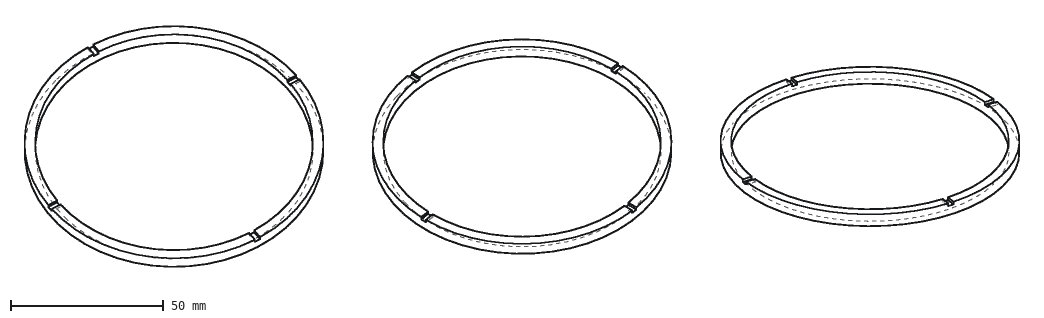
import cadquery as cq

outer_diameter = 98.0
inner_diameter = 91.0
height = 4.5

notch_width = 2.0
notch_depth = 1.0


def ring():
    """Plain flat ring standing on the XY plane."""
    return cq.Workplane("XY").circle(outer_diameter / 2).circle(inner_diameter / 2).extrude(height)


def notch_bar(angle):
    """Bar through the ring axis that cuts two opposite notches."""
    return (
        cq.Workplane("XY", origin=(0, 0, height - notch_depth))
        .rect(outer_diameter, notch_width)
        .extrude(notch_depth)
        .rotate((0, 0, 0), (0, 0, 1), angle)
    )


result = ring()
for bar_angle in (0, 90):
    result = result.cut(notch_bar(bar_angle))